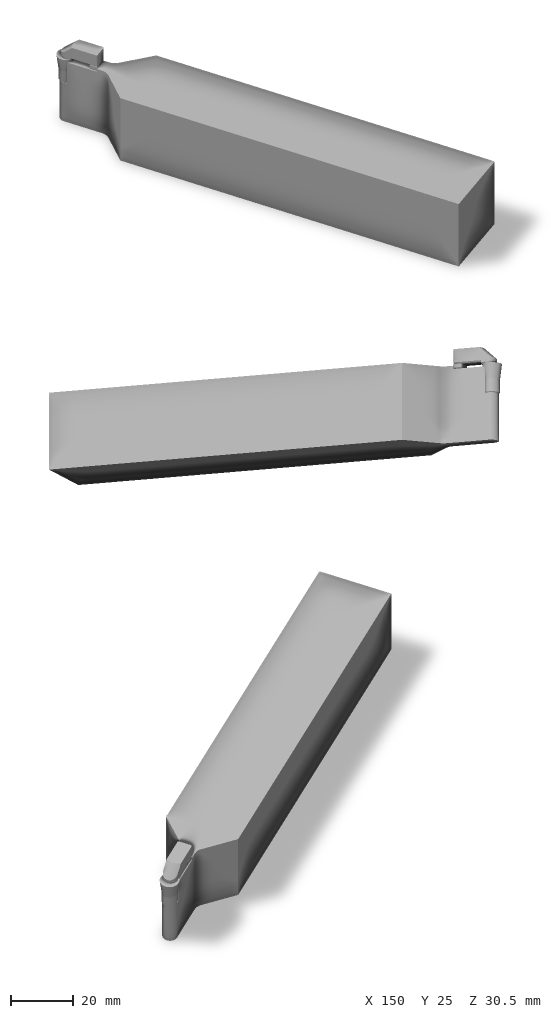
import cadquery as cq
import math

TOTAL_LENGTH = 150.0
SHANK_WIDTH = 25.0
SHANK_HEIGHT = SHANK_WIDTH
TAPER_END_X = 29.0
NECK_WIDTH = 5.0
NECK_FILLET = 3.9
NOSE_FRONT_X = 1.0
NOSE_SIDE_X = 3.3
STEP_X = 15.5
FLOOR_Z = 24.0

HEAD_RADIUS = 3.2
HEAD_RELIEF_ANGLE = 7.0
INSERT_TOP_Z = SHANK_HEIGHT
INSERT_BOTTOM_Z = 15.5
STEM_RADIUS = 2.5
STEM_OFFSET = 0.08
STEM_CHAMFER = 0.3
SEAT_WALL_X = 4.6

CLAMP_TOP_Z = 30.5
BAR_BOTTOM_Z = 25.6
CLAMP_NOSE_CENTRE_X = 4.0
PAD_SETBACK = 0.3
PAD_END_X = 6.0
FOOT_START_X = 12.8
FOOT_INSET = 0.2
REAR_CORNER_RADIUS = 0.5
UNDERSIDE_CHAMFER = 0.5
RIDGE_TOP_X = 5.8
RIDGE_RADIUS = 6.6
SLOPE_ANGLE = 42.0


def block(start_x, end_x, bottom_z, top_z, width=NECK_WIDTH):
    """Box centred on the XZ plane."""
    return (
        cq.Workplane("XY", origin=(start_x, 0, bottom_z))
        .box(end_x - start_x, width, top_z - bottom_z, centered=(False, True, False))
    )


def chamfered_block(start_x, end_x, bottom_z, top_z, width=NECK_WIDTH):
    """Block centred on the XZ plane, with chamfered lower side edges."""
    blank = block(start_x, end_x, bottom_z, top_z, width)
    return blank.edges("|X and <Z").chamfer(UNDERSIDE_CHAMFER)


def round_nosed_block(nose_centre_x, end_x, bottom_z, top_z):
    """Neck-wide block along X with a half-round front and chamfered lower side edges."""
    nose = (
        cq.Workplane("XY", origin=(nose_centre_x, 0, bottom_z))
        .circle(NECK_WIDTH / 2)
        .extrude(top_z - bottom_z)
    )
    body = chamfered_block(nose_centre_x, end_x, bottom_z, top_z)
    return body.union(nose.intersect(block(0, nose_centre_x, bottom_z, top_z)))


def make_shank():
    """Square shank tapering to a narrow, round-nosed neck with a lowered top."""
    half_shank = SHANK_WIDTH / 2
    half_neck = NECK_WIDTH / 2
    taper_start_x = TAPER_END_X - (half_shank - half_neck)
    outline = (
        cq.Workplane("XY")
        .moveTo(NOSE_SIDE_X, -half_neck)
        .lineTo(taper_start_x, -half_neck)
        .lineTo(TAPER_END_X, -half_shank)
        .lineTo(TOTAL_LENGTH, -half_shank)
        .lineTo(TOTAL_LENGTH, half_shank)
        .lineTo(TAPER_END_X, half_shank)
        .lineTo(taper_start_x, half_neck)
        .lineTo(NOSE_SIDE_X, half_neck)
        .threePointArc((NOSE_FRONT_X, 0), (NOSE_SIDE_X, -half_neck))
        .close()
    )
    shank = outline.extrude(SHANK_HEIGHT)
    neck_corners = cq.selectors.BoxSelector(
        (taper_start_x - NECK_FILLET, -SHANK_WIDTH, 0),
        (taper_start_x + NECK_FILLET, SHANK_WIDTH, SHANK_HEIGHT),
    )
    shank = shank.edges("|Z").edges(neck_corners).fillet(NECK_FILLET)
    lowered_top = block(0, STEP_X, FLOOR_Z, SHANK_HEIGHT)
    insert_seat = block(0, SEAT_WALL_X, INSERT_BOTTOM_Z, SHANK_HEIGHT)
    return shank.cut(lowered_top).cut(insert_seat)


def make_ridge():
    """Round bar rising at the slope angle, with its crest as the sloping clamp front."""
    slope = math.radians(SLOPE_ANGLE)
    along = cq.Vector(math.cos(slope), 0, math.sin(slope))
    outward = cq.Vector(-math.sin(slope), 0, math.cos(slope))
    crest = cq.Vector(RIDGE_TOP_X, 0, CLAMP_TOP_Z)
    start = crest - outward * RIDGE_RADIUS - along * CLAMP_TOP_Z
    return cq.Workplane(cq.Solid.makeCylinder(RIDGE_RADIUS, 2 * CLAMP_TOP_Z, start, along))


def make_clamp():
    """Bar with a pad resting on the insert and a foot standing on the neck."""
    bar = round_nosed_block(CLAMP_NOSE_CENTRE_X, STEP_X, BAR_BOTTOM_Z, CLAMP_TOP_Z)
    front_end_x = CLAMP_NOSE_CENTRE_X + NECK_WIDTH
    front = bar.intersect(block(0, front_end_x, BAR_BOTTOM_Z, CLAMP_TOP_Z)).intersect(make_ridge())
    rear = bar.intersect(block(front_end_x, STEP_X, BAR_BOTTOM_Z, CLAMP_TOP_Z))
    pad_nose_centre_x = CLAMP_NOSE_CENTRE_X + PAD_SETBACK
    joint_z = BAR_BOTTOM_Z + UNDERSIDE_CHAMFER
    pad = round_nosed_block(pad_nose_centre_x, PAD_END_X, INSERT_TOP_Z, joint_z)
    foot_width = NECK_WIDTH - 2 * FOOT_INSET
    foot = chamfered_block(FOOT_START_X, STEP_X, FLOOR_Z, BAR_BOTTOM_Z, foot_width)
    clamp = front.union(rear).union(pad).union(foot)
    rounded_rear = block(0, STEP_X, FLOOR_Z, CLAMP_TOP_Z).edges("|Z and >X").fillet(REAR_CORNER_RADIUS)
    return clamp.intersect(rounded_rear)


def make_holder():
    """Shank with the clamp grown from its neck."""
    return make_shank().union(make_clamp())


def make_insert():
    """Relieved round head, joined to a round stem with a flat back."""
    height = INSERT_TOP_Z - INSERT_BOTTOM_Z
    relief = height * math.tan(math.radians(HEAD_RELIEF_ANGLE))
    head = cq.Workplane(cq.Solid.makeCone(
        HEAD_RADIUS - relief, HEAD_RADIUS, height, cq.Vector(HEAD_RADIUS, 0, INSERT_BOTTOM_Z)
    ))
    stem = (
        cq.Workplane("XY", origin=(HEAD_RADIUS + STEM_OFFSET, 0, INSERT_BOTTOM_Z))
        .circle(STEM_RADIUS)
        .extrude(FLOOR_Z - INSERT_BOTTOM_Z)
        .faces("<Z")
        .chamfer(STEM_CHAMFER)
    )
    behind_seat = block(SEAT_WALL_X, STEP_X, INSERT_BOTTOM_Z, FLOOR_Z, 2 * HEAD_RADIUS)
    return head.union(stem).cut(behind_seat)


holder = make_holder()
insert = make_insert()
result = cq.Compound.makeCompound([holder.solids().val(), insert.solids().val()])